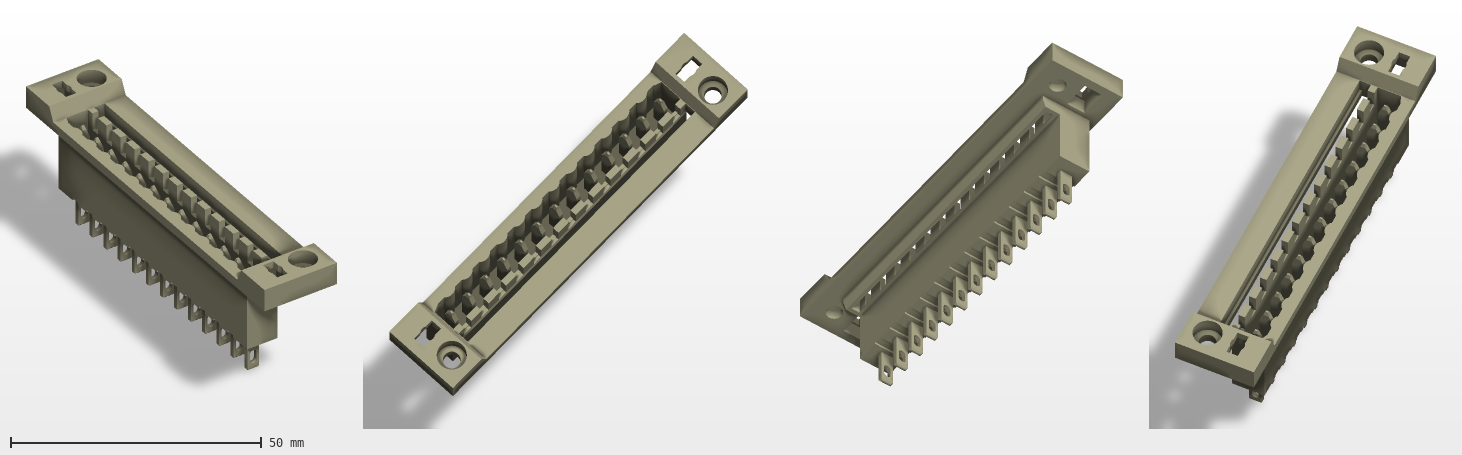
import cadquery as cq

length = 86.0
flange_depth = 17.4
deck_top = 2.1
ear_top = 5.2
ear_length = 8.3
ear_slope_length = 1.5

ear_hole_x = 38.1
screw_y = 12.5
screw_diameter = 3.5
counterbore_diameter = 6.0
counterbore_depth = ear_top - deck_top
key_y = 5.85
key_length = 5.2
key_width = 2.5
key_round_diameter = 3.0
key_throat = 1.6
key_recess_length = 6.0
key_recess_width = 4.3

body_length = 68.1
body_front = 1.8
body_back = 9.0
body_bottom = -15.05

ledge_bottom = -2.8
ledge_back = 13.2
ledge_back_low = 12.55
ledge_taper_start = -1.0

pin_count = 13
pin_span = 60.95
pitch = pin_span / (pin_count - 1)
pin_thickness = 1.0
pin_front = 3.9
pin_back = 6.7
pin_top = 0.8
pin_bottom = -22.9
tail_chamfer = 0.35
pin_lead_in = 0.9
pin_lead_height = 2.1
pin_nose_chamfer = 0.3
pin_nose_height = 0.9
pin_side_chamfer = 0.35
eye_width = 1.6
eye_bottom = -21.4
eye_top = -18.3

pocket_length = 66.2
pocket_front = 3.1
pocket_floor = -11.2
scallop_depth = 0.6
channel_width = 2.1
channel_front = 2.4
channel_depth = 0.9
comb_front = 8.25
comb_back = 9.7
comb_back_low = 10.0
comb_step_y = 9.0
comb_slot_bottom = -1.9
comb_step_bottom = -2.15
slit_back = 12.2
slit_back_low = 11.7
slit_ledge = -1.0

notch_width = 2.1
notch_height = 0.5

pin_xs = [-pin_span / 2 + i * pitch for i in range(pin_count)]
mid_xs = [x + pitch / 2 for x in pin_xs[:-1]]


def block(x_mid, x_size, y0, y1, z0, z1):
    """Box centred on x_mid, between the given Y and Z limits."""
    box = cq.Workplane("XY").box(x_size, y1 - y0, z1 - z0, centered=(True, False, False))
    return box.translate((x_mid, y0, z0))


def side_prism(points, x_size):
    """Prism along X, centred on X = 0, from (Y, Z) points."""
    return cq.Workplane("YZ").polyline(points).close().extrude(x_size / 2, both=True)


def make_flange():
    end = length / 2
    ear_end = end - ear_length
    deck_end = ear_end - ear_slope_length
    outline = [
        (-end, 0), (end, 0), (end, ear_top), (ear_end, ear_top), (deck_end, deck_top),
        (-deck_end, deck_top), (-ear_end, ear_top), (-end, ear_top),
    ]
    return cq.Workplane("XZ").polyline(outline).close().extrude(-flange_depth)


def make_body():
    outline = [
        (body_front, body_bottom), (body_back, body_bottom), (body_back, ledge_bottom),
        (ledge_back_low, ledge_bottom), (ledge_back, ledge_taper_start), (ledge_back, 0), (body_front, 0),
    ]
    body = side_prism(outline, body_length)
    for x in mid_xs:
        body = body.cut(block(x, notch_width, body_front, body_back, body_bottom, body_bottom + notch_height))
    return body


def make_ear_openings():
    """Counterbored screw holes, and keyed slots that widen underneath."""
    spots = [(-ear_hole_x, 0), (ear_hole_x, 0)]
    base = cq.Workplane("XY").pushPoints(spots)
    screw = base.circle(screw_diameter / 2).extrude(ear_top).translate((0, screw_y, 0))
    bore = base.circle(counterbore_diameter / 2).extrude(counterbore_depth)
    bore = bore.translate((0, screw_y, ear_top - counterbore_depth))
    key = base.rect(key_length, key_width).extrude(ear_top)
    key = key.union(base.circle(key_round_diameter / 2).extrude(ear_top))
    recess = base.rect(key_recess_length, key_recess_width).extrude(ear_top - key_throat)
    key = key.union(recess).translate((0, key_y, 0))
    return screw.union(bore).union(key)


def make_pocket():
    """Pocket in front of the comb wall; arcs bulge in between the contacts."""
    half = pocket_length / 2
    half_channel = channel_width / 2
    low = pocket_front - scallop_depth
    sketch = cq.Workplane("XY").moveTo(-half, comb_front).lineTo(-half, pocket_front)
    sketch = sketch.lineTo(pin_xs[0] - half_channel, low)
    for x in mid_xs:
        sketch = sketch.lineTo(x - pitch / 2 + half_channel, low)
        sketch = sketch.threePointArc((x, pocket_front), (x + pitch / 2 - half_channel, low))
    sketch = sketch.lineTo(pin_xs[-1] + half_channel, low).lineTo(half, pocket_front)
    pocket = sketch.lineTo(half, comb_front).close().extrude(deck_top - pocket_floor)
    pocket = pocket.translate((0, 0, pocket_floor))
    for x in pin_xs:
        pocket = pocket.union(
            block(x, channel_width, channel_front, comb_front, pocket_floor - channel_depth, deck_top)
        )
    return pocket


def make_rear_slit():
    """Slit behind the comb wall, open downwards, plus the stepped slots through the comb."""
    slit = side_prism([
        (comb_back, deck_top), (comb_back, comb_step_bottom), (comb_back_low, ledge_bottom),
        (slit_back_low, ledge_bottom), (slit_back_low, slit_ledge), (slit_back, slit_ledge),
        (slit_back, deck_top),
    ], pocket_length)
    for x in pin_xs:
        slit = slit.union(block(x, channel_width, comb_front, comb_step_y, comb_slot_bottom, deck_top))
        slit = slit.union(block(x, channel_width, comb_step_y, comb_back, comb_step_bottom, deck_top))
    return slit


def make_pin():
    """Flat contact: chamfered tail with an eye, tapered lead and a tapered nose on top."""
    middle = (pin_front + pin_back) / 2
    nose_z = pin_top - pin_nose_height
    lead_z = nose_z - pin_lead_height
    pin = side_prism([
        (pin_front + tail_chamfer, pin_bottom), (pin_back - tail_chamfer, pin_bottom),
        (pin_back, pin_bottom + tail_chamfer), (pin_back, lead_z), (pin_back - pin_lead_in, nose_z),
        (pin_back - pin_lead_in - pin_nose_chamfer, pin_top),
        (pin_front + pin_lead_in + pin_nose_chamfer, pin_top),
        (pin_front + pin_lead_in, nose_z), (pin_front, lead_z), (pin_front, pin_bottom + tail_chamfer),
    ], pin_thickness)
    half = pin_thickness / 2
    half_end = half - pin_side_chamfer
    front_outline = [
        (half_end, pin_bottom), (half, pin_bottom + tail_chamfer), (half, nose_z), (half_end, pin_top),
        (-half_end, pin_top), (-half, nose_z), (-half, pin_bottom + tail_chamfer), (-half_end, pin_bottom),
    ]
    pin = pin.intersect(cq.Workplane("XZ").polyline(front_outline).close().extrude(-flange_depth))
    eye = cq.Workplane("YZ").center(middle, (eye_bottom + eye_top) / 2)
    eye = eye.slot2D(eye_top - eye_bottom, eye_width, 90).extrude(pin_thickness, both=True)
    return pin.cut(eye)


result = make_flange().union(make_body()).cut(make_ear_openings())
result = result.cut(make_pocket()).cut(make_rear_slit())
pin = make_pin()
for x in pin_xs:
    result = result.union(pin.translate((x, 0, 0)))